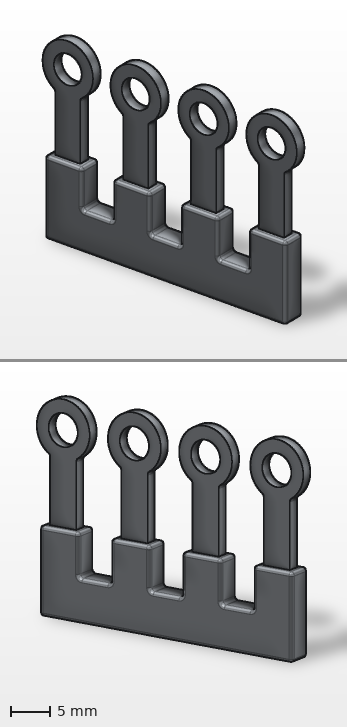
import cadquery as cq
import math

TERMINAL_COUNT = 4
PITCH = 11.0
TOTAL_HEIGHT = 29.0

HOUSING_HEIGHT = 12.0
HOUSING_THICKNESS = 3.5
TOOTH_WIDTH = 6.0
SLOT_DEPTH = 6.0
EDGE_RADIUS = 0.5

RING_DIAMETER = 8.2
RING_HOLE_DIAMETER = 4.5
SHANK_WIDTH = 4.08
TERMINAL_THICKNESS = 1.6
NECK_RADIUS = 0.5

TERMINAL_SPAN = (TERMINAL_COUNT - 1) * PITCH
HOUSING_LENGTH = TERMINAL_SPAN + TOOTH_WIDTH
SLOT_WIDTH = PITCH - TOOTH_WIDTH
SLOT_FLOOR = HOUSING_HEIGHT - SLOT_DEPTH
RING_RADIUS = RING_DIAMETER / 2
RING_CENTRE_Z = TOTAL_HEIGHT - RING_RADIUS
TERMINAL_POSITIONS = [i * PITCH - TERMINAL_SPAN / 2 for i in range(TERMINAL_COUNT)]
SLOT_POSITIONS = [x + PITCH / 2 for x in TERMINAL_POSITIONS[:-1]]


def make_housing():
    """Bar with one upright tooth per terminal and every edge rounded."""
    housing = cq.Workplane("XY").box(
        HOUSING_LENGTH, HOUSING_THICKNESS, HOUSING_HEIGHT, centered=(True, True, False)
    )
    for x in SLOT_POSITIONS:
        slot = cq.Workplane("XY", origin=(x, 0, SLOT_FLOOR)).box(
            SLOT_WIDTH, HOUSING_THICKNESS, SLOT_DEPTH, centered=(True, True, False)
        )
        housing = housing.cut(slot)
    housing = housing.edges("|Y").fillet(EDGE_RADIUS)
    return housing.faces("<Y or >Y").edges().fillet(EDGE_RADIUS)


def make_terminal(x):
    """Flat ring on a straight shank that stands on top of a tooth."""
    half_width = SHANK_WIDTH / 2
    fillet_centre_x = half_width + NECK_RADIUS
    fillet_drop = math.sqrt((RING_RADIUS + NECK_RADIUS) ** 2 - fillet_centre_x**2)

    shank_bottom = HOUSING_HEIGHT - RING_CENTRE_Z
    ring_share = RING_RADIUS / (RING_RADIUS + NECK_RADIUS)
    tangent_x = fillet_centre_x * ring_share
    tangent_z = -fillet_drop * ring_share

    ring_plane = cq.Workplane("XZ", origin=(x, TERMINAL_THICKNESS / 2, RING_CENTRE_Z))
    blank = (
        ring_plane.moveTo(-half_width, shank_bottom)
        .lineTo(half_width, shank_bottom)
        .lineTo(half_width, -fillet_drop)
        .tangentArcPoint((tangent_x, tangent_z), relative=False)
        .threePointArc((0, RING_RADIUS), (-tangent_x, tangent_z))
        .tangentArcPoint((-half_width, -fillet_drop), relative=False)
        .close()
        .extrude(TERMINAL_THICKNESS)
    )
    hole = ring_plane.circle(RING_HOLE_DIAMETER / 2).extrude(TERMINAL_THICKNESS)
    return blank.cut(hole)


housing = make_housing()
terminals = [make_terminal(x) for x in TERMINAL_POSITIONS]

result = cq.Compound.makeCompound([housing.val(), *[terminal.val() for terminal in terminals]])